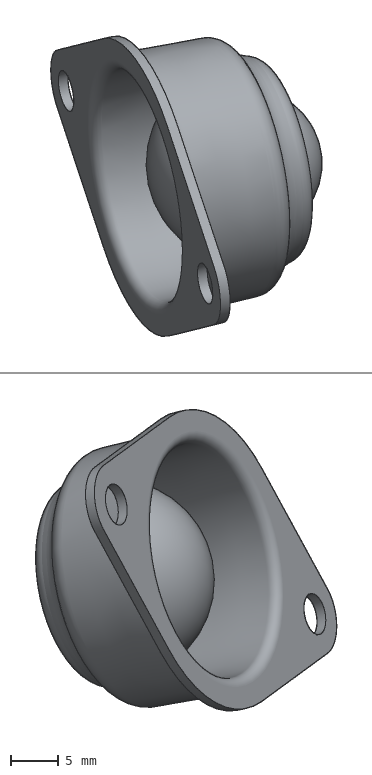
import cadquery as cq
import math

FLANGE_THICKNESS = 1.1
FLANGE_LENGTH = 49.06
FLANGE_WIDTH = 32.16
HOLE_SPACING = 40.2
HOLE_DIAMETER = 4.4

DRAFT = math.radians(1.8)
WALL_RADIUS = 14.23
FOOT_FILLET = 1.1
SHOULDER_FILLET = 2.2
SHOULDER_Y = 10.5
SHOULDER_END_Y = 12.65
SHOULDER_END_RADIUS = 12.3
NECK_RADIUS = 11.5
NECK_Y = 13.86
RIM_RADIUS = 11.2
RIM_Y = 14.63
TOP_RADIUS = 9.3
TOP_Y = 16.27
NECK_ARC_SAG = 0.08
RIM_ARC_SAG = 0.46

BORE_RADIUS = 12.6
MOUTH_FILLET = 1.13
FLOOR_Y = 10.6

BALL_RADIUS = 7.94
CUP_RADIUS = 10.65
OVERALL_HEIGHT = 20.57
BALL_CENTRE_Y = OVERALL_HEIGHT - BALL_RADIUS


def flange():
    """Rhombic plate: a large centre arc joined to two small end arcs by tangent lines."""
    end_x = HOLE_SPACING / 2
    middle_radius = FLANGE_WIDTH / 2
    end_radius = FLANGE_LENGTH / 2 - end_x
    sine = (middle_radius - end_radius) / end_x
    cosine = math.sqrt(1 - sine**2)
    middle_x, middle_z = middle_radius * sine, middle_radius * cosine
    tip_x, tip_z = end_x + end_radius * sine, end_radius * cosine
    outline = (
        cq.Workplane("XZ")
        .moveTo(-middle_x, middle_z)
        .threePointArc((0, middle_radius), (middle_x, middle_z))
        .lineTo(tip_x, tip_z)
        .threePointArc((end_x + end_radius, 0), (tip_x, -tip_z))
        .lineTo(middle_x, -middle_z)
        .threePointArc((0, -middle_radius), (-middle_x, -middle_z))
        .lineTo(-tip_x, -tip_z)
        .threePointArc((-end_x - end_radius, 0), (-tip_x, tip_z))
        .close()
    )
    plate = outline.extrude(-FLANGE_THICKNESS)
    holes = (
        cq.Workplane("XZ")
        .pushPoints([(-end_x, 0), (end_x, 0)])
        .circle(HOLE_DIAMETER / 2)
        .extrude(-FLANGE_THICKNESS)
    )
    return plate.cut(holes)


def turned(profile):
    """Revolve a closed (radius, Y) profile about the Y axis."""
    return profile.close().revolve(360, (0, 0, 0), (0, 1, 0))


def fillet_middle(radius, corner_x, corner_y):
    """Middle point of a quarter round that flares outwards from a wall to a face below it."""
    offset = radius * (1 - math.sqrt(0.5))
    return corner_x + offset, corner_y + offset


def housing():
    """Outer body with foot fillet, tapered wall, shoulder, neck and rounded rim."""
    foot_y = FLANGE_THICKNESS + FOOT_FILLET
    shoulder_radius = WALL_RADIUS - (SHOULDER_Y - foot_y) * math.tan(DRAFT)
    profile = (
        cq.Workplane("XY")
        .moveTo(0, 0)
        .lineTo(WALL_RADIUS + FOOT_FILLET, 0)
        .lineTo(WALL_RADIUS + FOOT_FILLET, FLANGE_THICKNESS)
        .threePointArc(fillet_middle(FOOT_FILLET, WALL_RADIUS, FLANGE_THICKNESS), (WALL_RADIUS, foot_y))
        .lineTo(shoulder_radius, SHOULDER_Y)
        .radiusArc((SHOULDER_END_RADIUS, SHOULDER_END_Y), -SHOULDER_FILLET)
        .sagittaArc((NECK_RADIUS, NECK_Y), NECK_ARC_SAG)
        .lineTo(RIM_RADIUS, RIM_Y)
        .sagittaArc((TOP_RADIUS, TOP_Y), -RIM_ARC_SAG)
        .lineTo(0, TOP_Y)
    )
    return turned(profile)


def recess():
    """Tapered bore with a rounded mouth and a flat floor."""
    floor_radius = BORE_RADIUS - (FLOOR_Y - MOUTH_FILLET) * math.tan(DRAFT)
    profile = (
        cq.Workplane("XY")
        .moveTo(0, 0)
        .lineTo(BORE_RADIUS + MOUTH_FILLET, 0)
        .threePointArc(fillet_middle(MOUTH_FILLET, BORE_RADIUS, 0), (BORE_RADIUS, MOUTH_FILLET))
        .lineTo(floor_radius, FLOOR_Y)
        .lineTo(0, FLOOR_Y)
    )
    return turned(profile)


def sphere(radius):
    """Full sphere about the common centre of ball and cup."""
    return cq.Workplane("XY").sphere(radius).translate((0, BALL_CENTRE_Y, 0))


def cup():
    """Part of the cup sphere that hangs below the recess floor."""
    side = 2 * CUP_RADIUS
    below_floor = cq.Workplane("XY").box(side, side, side).translate((0, FLOOR_Y - side / 2, 0))
    return sphere(CUP_RADIUS).intersect(below_floor)


result = flange().union(housing()).cut(recess()).union(cup()).union(sphere(BALL_RADIUS))